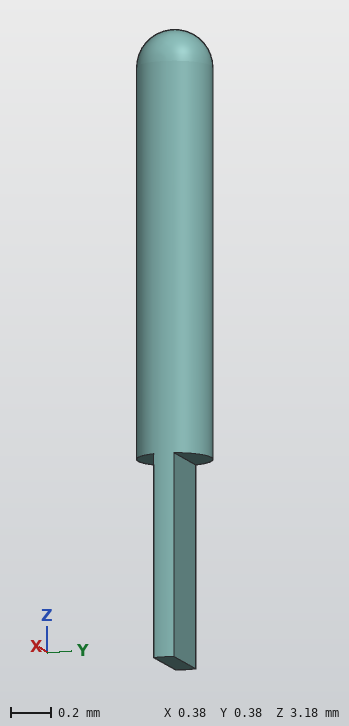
import cadquery as cq

total_length = 3.18
pin_diameter = 0.38
tang_length = 1.025
tang_thickness = 0.105

pin_radius = pin_diameter / 2

shoulder_height = total_length - pin_radius
pin = cq.Workplane("XY").circle(pin_radius).extrude(shoulder_height)
dome = cq.Workplane("XY").sphere(pin_radius).translate((0, 0, shoulder_height))
pin = pin.union(dome)


def tang_relief(side):
    """Block that cuts one flat of the tang; side is -1 or +1 along Y."""
    relief_center = side * (tang_thickness / 2 + pin_radius)
    return (
        cq.Workplane("XY")
        .center(0, relief_center)
        .rect(2 * pin_diameter, pin_diameter)
        .extrude(tang_length)
    )


result = pin
for side in (-1, 1):
    result = result.cut(tang_relief(side))